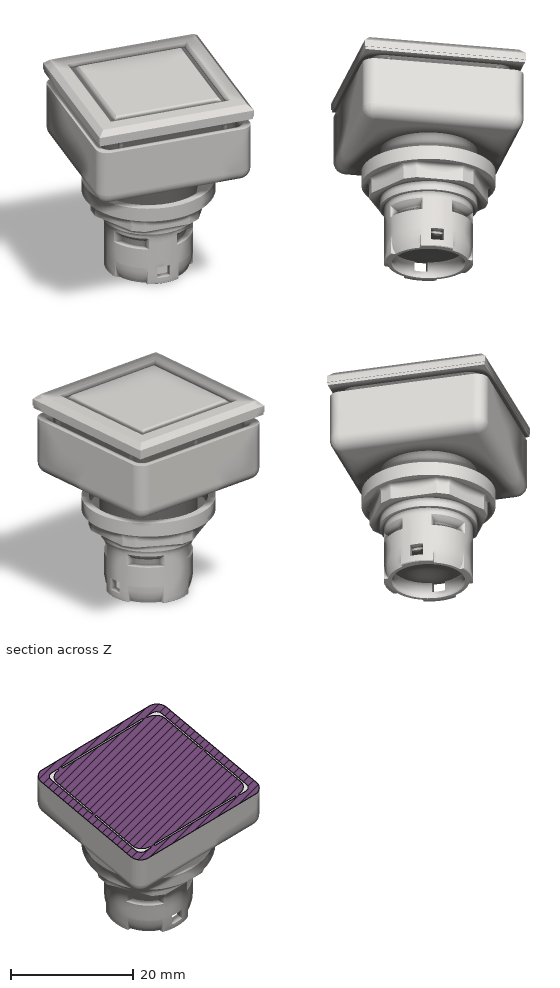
import cadquery as cq
import math

TOTAL_HEIGHT = 33.95
COVER_EDGE_BOTTOM = 31.9
COVER_BOTTOM = 31.42
HOUSING_TOP = 29.9
HOUSING_BOTTOM = 19.92
FLANGE_TOP = 16.29
FLANGE_BOTTOM = 13.9
NUT_BOTTOM = 11.25
STEM_BOTTOM = 9.74

COVER_SIDE = 26.9
COVER_CHAMFER = 0.9
COVER_LIP_INSET = 0.1
GROOVE_TOP_SIDE = 20.86
GROOVE_SIDE = 19.98
GROOVE_TAPER_DEPTH = 0.52
GROOVE_DEPTH = 0.72
PLATE_SIDE = 19.0
PLATE_TOP_SIDE = 17.76

NECK_SIDE = 23.2
NECK_CORNER_RADIUS = 2.0
BUMP_RADIUS = 0.45
BUMP_TOP = 30.95
BUMP_OFFSET = 9.1

HOUSING_SIDE = COVER_SIDE
HOUSING_RADIUS = 2.0
RIM_WIDTH = 0.71
TROUGH_DEPTH = 2.0
RIM_INNER_FILLET = 0.9

STEM_DIAMETER = 16.0
FLANGE_DIAMETER = 22.0
RECESS_DIAMETER = 19.5
RECESS_DEPTH = 2.2
NUT_ACROSS_FLATS = 18.0
NUT_ACROSS_CUT_CORNERS = 19.5
NUT_FILLET = 0.45
HALF_HEXAGON_ANGLE = 30

BARREL_DIAMETER = 14.65
BARREL_CHAMFER = 0.12
BORE_DIAMETER = 12.1
BORE_DEPTH = 2.8

WINDOW_BOTTOM = 6.58
WINDOW_TOP = 8.6
WINDOW_ROOF_LOW = 7.64
WINDOW_STEP = 7.34
WINDOW_BACK_RADIUS = 6.25
WINDOW_STEP_RADIUS = 6.32
WINDOW_OUTER_HALF_WIDTH = 3.12
WINDOW_INNER_HALF_WIDTH = 2.1

NOTCH_HEIGHT = 3.05
NOTCH_OUTER_HALF_WIDTH = 2.9
NOTCH_INNER_HALF_WIDTH = 2.4

LATCH_WIDTH = 2.2
LATCH_BOTTOM = 1.16
LATCH_TOP = 3.18

BARREL_RADIUS = BARREL_DIAMETER / 2
CLEARANCE = 1.0
SELECT_MARGIN = 0.01
FILLET_MARGIN = 0.001
DIAGONALS = (45, 135, 225, 315)


def square_block(side, bottom, top):
    return cq.Workplane("XY").workplane(offset=bottom).rect(side, side).extrude(top - bottom)


def square_frustum(bottom_side, bottom, top_side, top):
    lower = cq.Workplane("XY").workplane(offset=bottom).rect(bottom_side, bottom_side)
    return lower.workplane(offset=top - bottom).rect(top_side, top_side).loft(ruled=True)


def cylinder(diameter, bottom, top):
    return cq.Workplane("XY").workplane(offset=bottom).circle(diameter / 2).extrude(top - bottom)


def hexagon(across_flats, bottom, top):
    corner_diameter = across_flats / math.cos(math.pi / 6)
    return cq.Workplane("XY").workplane(offset=bottom).polygon(6, corner_diameter).extrude(top - bottom)


def edge_selector(reach, height):
    """Select the edges lying flat at the given height within reach of the axis."""
    return cq.selectors.BoxSelector(
        (-reach, -reach, height - SELECT_MARGIN), (reach, reach, height + SELECT_MARGIN), boundingbox=True
    )


def make_cover():
    edge = square_block(COVER_SIDE, COVER_EDGE_BOTTOM, TOTAL_HEIGHT).faces(">Z").chamfer(COVER_CHAMFER)
    lip = square_block(COVER_SIDE - 2 * COVER_LIP_INSET, COVER_BOTTOM, COVER_EDGE_BOTTOM)
    groove_floor = TOTAL_HEIGHT - GROOVE_DEPTH
    taper_bottom = TOTAL_HEIGHT - GROOVE_TAPER_DEPTH
    recess = square_block(GROOVE_SIDE, groove_floor, taper_bottom)
    recess = recess.union(square_frustum(GROOVE_SIDE, taper_bottom, GROOVE_TOP_SIDE, TOTAL_HEIGHT))
    plate = square_frustum(PLATE_SIDE, groove_floor, PLATE_TOP_SIDE, TOTAL_HEIGHT)
    return edge.union(lip).cut(recess).union(plate)


def make_neck_bumps():
    """One bump at the middle of each Y face and two towards the ends of each X face."""
    half = NECK_SIDE / 2
    centres = [(0, side * half) for side in (-1, 1)]
    centres += [(side * half, end * BUMP_OFFSET) for side in (-1, 1) for end in (-1, 1)]
    bottom = HOUSING_TOP - TROUGH_DEPTH
    plane = cq.Workplane("XY").workplane(offset=bottom)
    return plane.pushPoints(centres).circle(BUMP_RADIUS).extrude(BUMP_TOP - bottom)


def make_housing():
    housing = square_block(HOUSING_SIDE, HOUSING_BOTTOM, HOUSING_TOP).edges("|Z").fillet(HOUSING_RADIUS)
    housing = housing.faces("<Z").edges().fillet(HOUSING_RADIUS - FILLET_MARGIN)
    trough_floor = HOUSING_TOP - TROUGH_DEPTH
    trough_side = HOUSING_SIDE - 2 * (RIM_WIDTH + RIM_INNER_FILLET)
    trough = square_block(trough_side, trough_floor, HOUSING_TOP)
    trough = trough.edges("|Z").fillet(HOUSING_RADIUS - RIM_INNER_FILLET)
    reach = HOUSING_SIDE / 2 - RIM_WIDTH
    rim_edges = edge_selector(reach, HOUSING_TOP)
    housing = housing.cut(trough).edges(rim_edges).fillet(RIM_INNER_FILLET)
    neck = square_block(NECK_SIDE, trough_floor, COVER_BOTTOM).edges("|Z").fillet(NECK_CORNER_RADIUS)
    return housing.union(neck).union(make_neck_bumps())


def make_flange_and_nut():
    flange = cylinder(FLANGE_DIAMETER, FLANGE_BOTTOM, FLANGE_TOP)
    nut = hexagon(NUT_ACROSS_FLATS, NUT_BOTTOM, FLANGE_BOTTOM)
    nut = nut.rotate((0, 0, 0), (0, 0, 1), HALF_HEXAGON_ANGLE)
    nut = nut.intersect(hexagon(NUT_ACROSS_CUT_CORNERS, NUT_BOTTOM, FLANGE_BOTTOM))
    body = flange.union(nut)
    joint = edge_selector(NUT_ACROSS_CUT_CORNERS / 2 + NUT_FILLET, FLANGE_BOTTOM)
    body = body.edges(joint).fillet(NUT_FILLET)
    return body.cut(cylinder(RECESS_DIAMETER, FLANGE_TOP - RECESS_DEPTH, FLANGE_TOP))


def flared_wedge(inner_radius, inner_half_width, outer_half_width, height):
    """Wedge along +X, as wide as given where its sides meet the inner radius and the barrel surface."""
    inner_x = math.sqrt(inner_radius**2 - inner_half_width**2)
    outer_x = math.sqrt(BARREL_RADIUS**2 - outer_half_width**2)
    end_x = BARREL_RADIUS + CLEARANCE
    flare = (outer_half_width - inner_half_width) / (outer_x - inner_x)
    end_half_width = inner_half_width + flare * (end_x - inner_x)
    return (
        cq.Workplane("XY")
        .moveTo(inner_x, -inner_half_width)
        .lineTo(end_x, -end_half_width)
        .lineTo(end_x, end_half_width)
        .lineTo(inner_x, inner_half_width)
        .close()
        .extrude(height)
    )


def make_window():
    """Tapered window on the +X side, with a curved back and a sloping roof."""
    outer = BARREL_RADIUS + CLEARANCE
    roof_slope = (WINDOW_TOP - WINDOW_ROOF_LOW) / (BARREL_RADIUS - WINDOW_STEP_RADIUS)
    ring = (
        cq.Workplane("XZ")
        .moveTo(WINDOW_BACK_RADIUS, WINDOW_BOTTOM)
        .lineTo(outer, WINDOW_BOTTOM)
        .lineTo(outer, WINDOW_TOP + roof_slope * CLEARANCE)
        .lineTo(WINDOW_STEP_RADIUS, WINDOW_ROOF_LOW)
        .lineTo(WINDOW_STEP_RADIUS, WINDOW_STEP)
        .lineTo(WINDOW_BACK_RADIUS, WINDOW_STEP)
        .close()
        .revolve(360, (0, 0, 0), (0, 1, 0))
    )
    wedge = flared_wedge(
        WINDOW_BACK_RADIUS, WINDOW_INNER_HALF_WIDTH, WINDOW_OUTER_HALF_WIDTH, FLANGE_BOTTOM
    )
    return ring.intersect(wedge)


def make_notch():
    """Notch on the +X side whose floor follows a sphere as wide as the barrel."""
    inner_radius = math.sqrt(BARREL_RADIUS**2 - NOTCH_HEIGHT**2)
    wedge = flared_wedge(inner_radius, NOTCH_INNER_HALF_WIDTH, NOTCH_OUTER_HALF_WIDTH, NOTCH_HEIGHT)
    ball = cq.Workplane("XY").sphere(BARREL_RADIUS).translate((0, 0, NOTCH_HEIGHT))
    return wedge.cut(ball)


def make_latch_holes():
    bar = cq.Workplane("XY").box(
        2 * BARREL_DIAMETER, LATCH_WIDTH, LATCH_TOP - LATCH_BOTTOM, centered=(True, True, False)
    )
    bar = bar.translate((0, 0, LATCH_BOTTOM))
    return bar.cut(cylinder(BORE_DIAMETER, 0, LATCH_TOP + CLEARANCE))


def make_barrel():
    barrel = cylinder(BARREL_DIAMETER, 0, STEM_BOTTOM).faces("<Z").chamfer(BARREL_CHAMFER)
    window = make_window()
    notch = make_notch()
    for angle in DIAGONALS:
        for cutter in (window, notch):
            barrel = barrel.cut(cutter.rotate((0, 0, 0), (0, 0, 1), angle))
    barrel = barrel.cut(make_latch_holes())
    return barrel.cut(cylinder(BORE_DIAMETER, 0, BORE_DEPTH))


stem = cylinder(STEM_DIAMETER, STEM_BOTTOM, HOUSING_BOTTOM)
result = make_barrel().union(make_flange_and_nut()).union(stem)
result = result.union(make_housing()).union(make_cover())